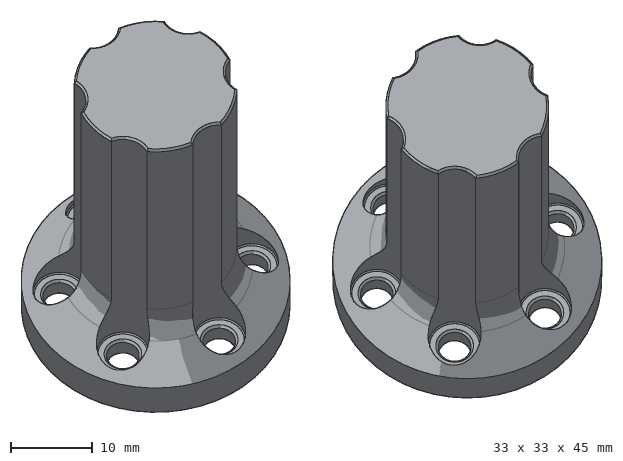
import cadquery as cq
import math

height = 45.0
flange_diameter = 33.0
rim_height = 5.0
shaft_diameter = 20.0

recess_diameter = 30.0
recess_depth = 2.5

cone_top_height = 10.0
blend_radius = 5.0

hole_count = 6
bolt_circle_diameter = 24.0
hole_diameter = 4.0
hole_edge_chamfer = 0.3
counterbore_diameter = 6.5
counterbore_floor = 5.0
floor_edge_chamfer = 0.2

top_edge_chamfer = 0.25

flange_radius = flange_diameter / 2
shaft_radius = shaft_diameter / 2
hole_radius = hole_diameter / 2


def make_body():
    """Revolve the flange, its conical top, the concave blend and the shaft."""
    cone_angle = math.atan2(cone_top_height - rim_height, flange_radius - shaft_radius)
    tangent_length = blend_radius * math.tan((math.pi / 2 - cone_angle) / 2)
    blend_start = (
        shaft_radius + tangent_length * math.cos(cone_angle),
        cone_top_height - tangent_length * math.sin(cone_angle),
    )
    blend_end = (shaft_radius, cone_top_height + tangent_length)
    return (
        cq.Workplane("XZ")
        .lineTo(flange_radius, 0)
        .lineTo(flange_radius, rim_height)
        .lineTo(*blend_start)
        .tangentArcPoint(blend_end, relative=False)
        .lineTo(shaft_radius, height)
        .lineTo(0, height)
        .close()
        .revolve(360, (0, 0, 0), (0, 1, 0))
    )


def hole_centers(level):
    """Workplane at the given height with a point at every screw position."""
    plane = cq.Workplane("XY", origin=(0, 0, level))
    return plane.polarArray(bolt_circle_diameter / 2, 0, 360, hole_count)


def make_counterbores():
    """Cutters that form the screw head seats and the flutes up the shaft."""
    cutters = hole_centers(counterbore_floor).circle(counterbore_diameter / 2)
    cutters = cutters.extrude(height - counterbore_floor)
    return cutters.faces("<Z").chamfer(floor_edge_chamfer)


def make_screw_holes():
    """Through hole cutters flared by a chamfer at the counterbore floor."""
    profile = (
        cq.Workplane("XZ")
        .lineTo(hole_radius, 0)
        .lineTo(hole_radius, counterbore_floor - hole_edge_chamfer)
        .lineTo(hole_radius + hole_edge_chamfer, counterbore_floor)
        .lineTo(0, counterbore_floor)
        .close()
    )
    cutter = profile.revolve(360, (0, 0, 0), (0, 1, 0)).val()
    return hole_centers(0).eachpoint(lambda place: cutter.moved(place))


def make_recess():
    """Cutter for the round recess in the underside of the flange."""
    return cq.Workplane("XY").circle(recess_diameter / 2).extrude(recess_depth)


body = make_body().cut(make_recess())
body = body.cut(make_counterbores())
body = body.faces(">Z").chamfer(top_edge_chamfer)
result = body.cut(make_screw_holes())